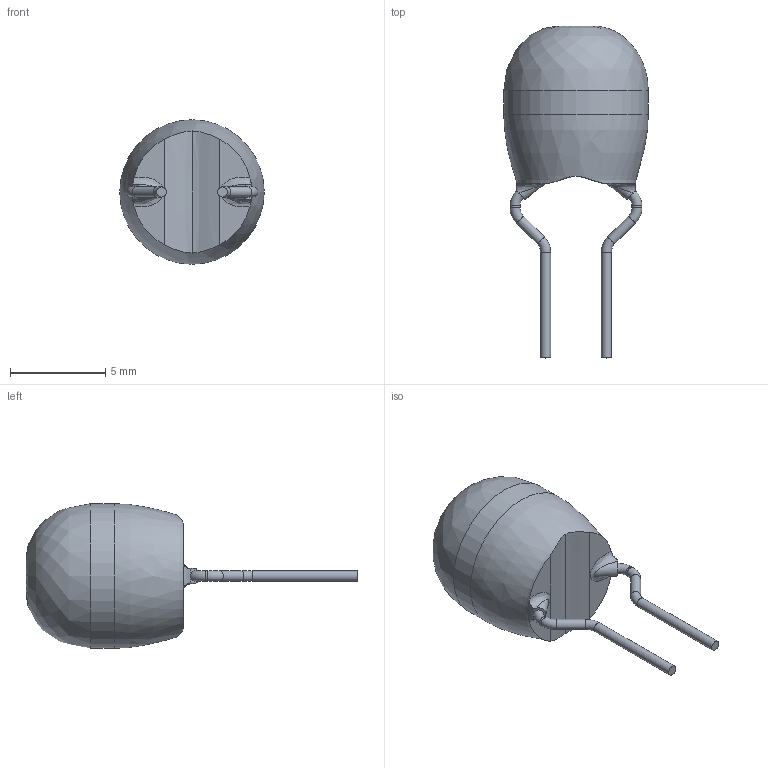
import cadquery as cq
import math


overall_length = 17.46
body_radius = 3.8
body_length = 8.28
band_start = 3.63
band_end = 4.89
crown_flat_radius = 0.9
base_radius = 3.14
taper_points = [(3.25, 0.5), (3.53, 1.5), (3.72, 2.5)]

arch_half_width = 1.447
arch_height = 0.38
arch_foot_control = (0.7, 0.17)
arch_crest_control = (0.4, arch_height)

wire_radius = 0.265
lead_half_pitch = 1.6
crimp_half_pitch = 3.2
lead_tip = body_length - overall_length
crimp_start = -3.61
crimp_straight = 0.11
bend_radius = 0.87
bend_angle = 45.0
wire_embed = 0.5

sleeve_radius = 0.4
sleeve_angle = 39.0
sleeve_reach = 3.0
sleeve_fillet = 0.42
sleeve_overlap = 0.1
slab_size = 20.0

bend_sin = math.sin(math.radians(bend_angle))
bend_cos = math.cos(math.radians(bend_angle))
bend_dx = bend_radius * (1 - bend_cos)
bend_dy = bend_radius * bend_sin
slant_dx = crimp_half_pitch - lead_half_pitch - 2 * bend_dx
slant_dy = slant_dx * bend_cos / bend_sin

crimp_top = crimp_start + 2 * bend_dy + slant_dy + crimp_straight
wire_end_x = crimp_half_pitch - bend_dx
wire_end_y = crimp_top + bend_dy


def make_body():
    profile = (
        cq.Workplane("XY")
        .moveTo(0, 0)
        .lineTo(base_radius, 0)
        .spline(
            taper_points + [(body_radius, band_start)],
            tangents=[(0, 1), (0, 1)],
            includeCurrent=True,
        )
        .lineTo(body_radius, band_end)
        .ellipseArc(body_radius - crown_flat_radius, body_length - band_end, 0, 90, sense=1)
        .lineTo(0, body_length)
        .close()
    )
    return profile.revolve(360, (0, 0, 0), (0, 1, 0))


def make_arch():
    """S-shaped flanks that meet in a level crest at X = 0."""
    foot_x, foot_y = arch_foot_control
    crest_x, crest_y = arch_crest_control
    return (
        cq.Workplane("XY", origin=(0, 0, -body_radius))
        .moveTo(-arch_half_width, 0)
        .bezier([(-foot_x, foot_y), (-crest_x, crest_y), (0, arch_height)], includeCurrent=True)
        .bezier([(crest_x, crest_y), (foot_x, foot_y), (arch_half_width, 0)], includeCurrent=True)
        .close()
        .extrude(2 * body_radius)
    )


def add_bend(path, start, outward, leaves_vertical):
    """Add a bend between vertical and slanted wire, moving along +X (outward = 1) or -X (-1)."""
    half_angle = math.radians(bend_angle / 2)
    across = bend_radius * (1 - math.cos(half_angle))
    along = bend_radius * math.sin(half_angle)
    if not leaves_vertical:
        across = bend_dx - across
        along = bend_dy - along
    start_x, start_y = start
    middle = (start_x + outward * across, start_y + along)
    end = (start_x + outward * bend_dx, start_y + bend_dy)
    return path.threePointArc(middle, end)


def make_lead():
    """Wire of the +X lead, swept from its tip up into the body."""
    tip = (lead_half_pitch, lead_tip)
    lower_bend = (lead_half_pitch, crimp_start)
    upper_bend = (crimp_half_pitch, crimp_top)
    slant_start = (lead_half_pitch + bend_dx, crimp_start + bend_dy)
    slant_end = (slant_start[0] + slant_dx, slant_start[1] + slant_dy)

    path = cq.Workplane("XY").moveTo(*tip).lineTo(*lower_bend)
    path = add_bend(path, lower_bend, 1, True)
    path = path.lineTo(*slant_end)
    path = add_bend(path, slant_end, 1, False)
    path = path.lineTo(*upper_bend)
    path = add_bend(path, upper_bend, -1, True)
    path = path.lineTo(wire_end_x - wire_embed * bend_sin, wire_end_y + wire_embed * bend_cos)

    tip_plane = cq.Plane(origin=(*tip, 0), xDir=(1, 0, 0), normal=(0, 1, 0))
    return cq.Workplane(tip_plane).circle(wire_radius).sweep(path)


def make_sleeve():
    """Slanted sleeve of the +X lead, flared where it meets the flat underside."""
    lean = math.radians(sleeve_angle)
    root_x = wire_end_x + wire_end_y / math.tan(lean)
    axis = (math.cos(lean), -math.sin(lean), 0)
    root_plane = cq.Plane(origin=(root_x, 0, 0), xDir=(0, 0, 1), normal=axis)
    rod = cq.Workplane(root_plane).circle(sleeve_radius).extrude(sleeve_reach, both=True)

    slab = cq.Workplane("XY").box(slab_size, slab_size, slab_size).translate((0, slab_size / 2, 0))
    joint_half_length = sleeve_radius / math.sin(lean)
    joint = cq.selectors.BoxSelector(
        (root_x - joint_half_length, -sleeve_overlap, -sleeve_radius),
        (root_x + joint_half_length, sleeve_overlap, sleeve_radius),
    )
    flared = rod.union(slab).edges(joint).fillet(sleeve_fillet)

    rim = cq.Workplane("XZ").circle(base_radius).extrude(sleeve_reach, both=True)
    end_slope = bend_sin / bend_cos
    keep = (
        cq.Workplane("XY")
        .moveTo(arch_half_width, sleeve_overlap)
        .lineTo(arch_half_width, wire_end_y + (arch_half_width - wire_end_x) * end_slope)
        .lineTo(body_radius, wire_end_y + (body_radius - wire_end_x) * end_slope)
        .lineTo(body_radius, sleeve_overlap)
        .close()
        .extrude(body_radius, both=True)
    )
    return flared.intersect(keep.intersect(rim))


terminal = make_lead().union(make_sleeve())
result = make_body().cut(make_arch()).union(terminal).union(terminal.mirror("YZ"))